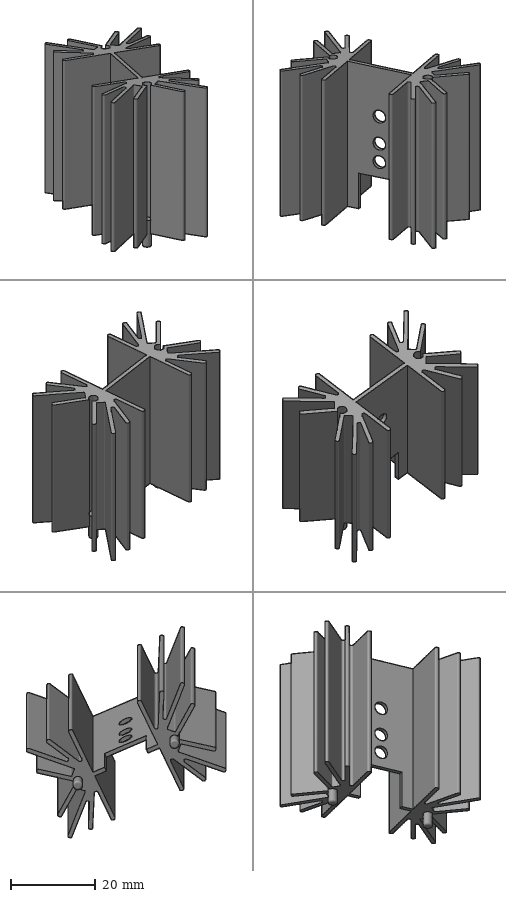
import cadquery as cq
import math

body_height = 38.1
half_width = 41.23 / 2
half_depth = 25.0 / 2
web_thickness = 1.05
web_half_span = 8.45

fin_thickness = 1.05
fin_half = fin_thickness / 2
tip_corner_radius = 0.4
tip_flat_half = fin_half - tip_corner_radius
straight_fin_x = web_half_span + fin_half


def tip_x_at_side(angle):
    """Tip X for which a fin at this angle just reaches the overall half width."""
    tilt = math.radians(angle)
    return half_width - tip_corner_radius * (1 - math.cos(tilt)) - tip_flat_half * math.sin(tilt)


diagonal_angle = 45
shallow_angle = 37.8
straight_fin = {"tip": (straight_fin_x, half_depth), "angle": 90}
steep_fin = {"tip": (14.98, 12.4), "angle": 63}
diagonal_fin = {"tip": (tip_x_at_side(diagonal_angle), 12.25), "angle": diagonal_angle}
shallow_fin = {"tip": (tip_x_at_side(shallow_angle), 6.35), "angle": shallow_angle}

wedge_root_radius = 0.45
notch_corner_radius = 0.25
notch_floor_offset = 15.2

pin_x = 12.6
pin_radius = 1.12
pin_exposed = 3.5
pin_embedded = 3.5
pin_end_radius = 0.5

hole_diameter = 3.3
hole_heights = (13.4, 18.2, 25.35)
window_width = 10.9
window_height = 9.35


def direction(fin):
    """Unit vector pointing outward along a fin."""
    angle = math.radians(fin["angle"])
    return math.cos(angle), math.sin(angle)


def fin_point(fin, inset, side):
    """Point at a distance inset behind the fin tip and side off its centre line (+ towards the web)."""
    cos_a, sin_a = direction(fin)
    x, y = fin["tip"]
    return x - inset * cos_a - side * sin_a, y - inset * sin_a + side * cos_a


def crossing(point_a, direction_a, point_b, direction_b):
    """Intersection of two lines, each given by a point and a direction."""
    (ax, ay), (ux, uy) = point_a, direction_a
    (bx, by), (vx, vy) = point_b, direction_b
    t = ((bx - ax) * vy - (by - ay) * vx) / (ux * vy - uy * vx)
    return ax + t * ux, ay + t * uy


def web_side_edge(fin):
    """Line along the fin edge facing the web, as a point and a direction."""
    return fin_point(fin, 0, fin_half), direction(fin)


def outer_edge(fin):
    """Line along the fin edge facing away from the web, as a point and a direction."""
    return fin_point(fin, 0, -fin_half), direction(fin)


x_axis = ((0, 0), (1, 0))
notch_floor = ((notch_floor_offset, 0), (1, -1))
wedge_roots = [
    crossing(*outer_edge(straight_fin), *web_side_edge(steep_fin)),
    crossing(*outer_edge(steep_fin), *web_side_edge(diagonal_fin)),
]
notch_corners = [
    crossing(*outer_edge(diagonal_fin), *notch_floor),
    crossing(*web_side_edge(shallow_fin), *notch_floor),
]
vee_root = crossing(*outer_edge(shallow_fin), *x_axis)


def fin_outline(outline, fin):
    """Go around one fin tip, from its web-side edge to its outer edge."""
    arc_inset = tip_corner_radius * (1 - math.sqrt(0.5))
    arc_side = fin_half - arc_inset
    outline = outline.lineTo(*fin_point(fin, tip_corner_radius, fin_half))
    outline = outline.threePointArc(fin_point(fin, arc_inset, arc_side), fin_point(fin, 0, tip_flat_half))
    outline = outline.lineTo(*fin_point(fin, 0, -tip_flat_half))
    return outline.threePointArc(
        fin_point(fin, arc_inset, -arc_side), fin_point(fin, tip_corner_radius, -fin_half)
    )


def fillet_corners(solid, corners, radius):
    """Round the vertical edges that stand on the given (x, y) corners."""
    for x, y in corners:
        solid = solid.edges(cq.selectors.NearestToPointSelector((x, y, body_height / 2))).fillet(radius)
    return solid


def quarter_hub():
    """The hub and fins in the quadrant where X and Y are positive."""
    outline = cq.Workplane("XY").moveTo(web_half_span, 0)
    outline = fin_outline(outline, straight_fin).lineTo(*wedge_roots[0])
    outline = fin_outline(outline, steep_fin).lineTo(*wedge_roots[1])
    outline = fin_outline(outline, diagonal_fin).lineTo(*notch_corners[0]).lineTo(*notch_corners[1])
    outline = fin_outline(outline, shallow_fin).lineTo(*vee_root)
    quarter = outline.close().extrude(body_height)
    quarter = fillet_corners(quarter, wedge_roots, wedge_root_radius)
    return fillet_corners(quarter, notch_corners, notch_corner_radius)


def web():
    """Panel joining the hubs, with a column of holes and a window open at the bottom."""
    panel = cq.Workplane("XY").box(
        2 * web_half_span, web_thickness, body_height, centered=(True, True, False)
    )
    holes = (
        cq.Workplane("XZ")
        .pushPoints([(0, z) for z in hole_heights])
        .circle(hole_diameter / 2)
        .extrude(web_thickness, both=True)
    )
    window = cq.Workplane("XY").box(
        window_width, 2 * web_thickness, window_height, centered=(True, True, False)
    )
    return panel.cut(holes).cut(window)


def finned_hub():
    """The whole hub on the +X side with its solder pin."""
    quarter = quarter_hub()
    hub = quarter.union(quarter.mirror("XZ"))
    pin_hole = cq.Workplane("XY").center(pin_x, 0).circle(pin_radius).extrude(body_height)
    pin = (
        cq.Workplane("XY", origin=(pin_x, 0, -pin_exposed))
        .circle(pin_radius)
        .extrude(pin_exposed + pin_embedded)
        .faces("<Z").edges().fillet(pin_end_radius)
    )
    return hub.cut(pin_hole).union(pin)


hub = finned_hub()
result = web().union(hub).union(hub.mirror("YZ"))